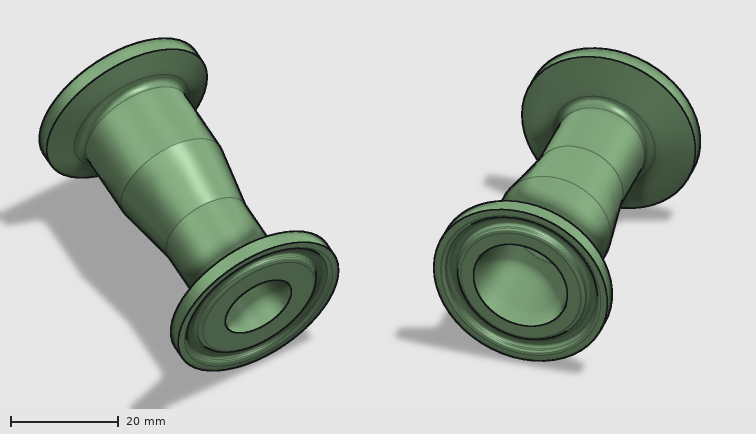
import cadquery as cq
import math

length = 53.0
flange_radius = 34.0 / 2
flange_thickness = 2.85
flange_back_angle = math.radians(20)
neck_fillet = 2.0

large_outer_radius = 21.7 / 2
large_bore_radius = 18.4 / 2
small_outer_radius = 17.3 / 2
small_bore_radius = 14.0 / 2
taper_start = 20.0
taper_end = 33.1

groove_inner_radius = 23.55 / 2
groove_outer_radius = 31.4 / 2
groove_lip_fillet = 0.8
groove_wall_depth = 0.3
groove_wall_draft = math.radians(20)


def turn(outline):
    """Revolve a closed (x, radius) outline about the X axis."""
    return outline.close().revolve(360, (0, 0, 0), (1, 0, 0))


def flanged_end(tube_radius):
    """Flange with its face at x = 0 and a conical back blended into the tube."""
    blend_radius = tube_radius + neck_fillet * (1 - math.sin(flange_back_angle))
    cone_length = (flange_radius - blend_radius) * math.tan(flange_back_angle)
    blend_start = flange_thickness + cone_length
    blend_end = blend_start + neck_fillet * math.cos(flange_back_angle)
    mid_angle = (math.pi / 2 + flange_back_angle) / 2
    blend_middle = (
        blend_end - neck_fillet * math.cos(mid_angle),
        tube_radius + neck_fillet * (1 - math.sin(mid_angle)),
    )
    return turn(
        cq.Workplane("XY")
        .lineTo(0, flange_radius)
        .lineTo(flange_thickness, flange_radius)
        .lineTo(blend_start, blend_radius)
        .threePointArc(blend_middle, (blend_end, tube_radius))
        .lineTo(blend_end, 0)
    )


def gasket_groove():
    """Ring with rounded lips at x = 0, short drafted walls and a round bottom."""
    middle = (groove_inner_radius + groove_outer_radius) / 2
    half_width = (groove_outer_radius - groove_inner_radius) / 2
    lip_mid_angle = (math.pi / 2 - groove_wall_draft) / 2

    lip_middle_depth = groove_lip_fillet * (1 - math.cos(lip_mid_angle))
    lip_middle_half = half_width - groove_lip_fillet * math.sin(lip_mid_angle)
    lip_depth = groove_lip_fillet * (1 - math.sin(groove_wall_draft))
    lip_half = half_width - groove_lip_fillet * math.cos(groove_wall_draft)
    wall_depth = lip_depth + groove_wall_depth
    wall_half = lip_half - groove_wall_depth * math.tan(groove_wall_draft)
    bottom_radius = wall_half / math.cos(groove_wall_draft)
    bottom_depth = wall_depth + bottom_radius * (1 - math.sin(groove_wall_draft))
    return turn(
        cq.Workplane("XY")
        .moveTo(0, middle - half_width)
        .threePointArc((lip_middle_depth, middle - lip_middle_half), (lip_depth, middle - lip_half))
        .lineTo(wall_depth, middle - wall_half)
        .threePointArc((bottom_depth, middle), (wall_depth, middle + wall_half))
        .lineTo(lip_depth, middle + lip_half)
        .threePointArc((lip_middle_depth, middle + lip_middle_half), (0, middle + half_width))
    )


def stepped_core(large_radius, small_radius):
    """Full-length round core: large end, straight taper, small end."""
    return turn(
        cq.Workplane("XY")
        .lineTo(0, large_radius)
        .lineTo(taper_start, large_radius)
        .lineTo(taper_end, small_radius)
        .lineTo(length, small_radius)
        .lineTo(length, 0)
    )


def at_far_end(shape):
    """Mirror a shape made at x = 0 onto the opposite end."""
    return shape.mirror("YZ").translate((length, 0, 0))


body = stepped_core(large_outer_radius, small_outer_radius)
body = body.union(flanged_end(large_outer_radius))
body = body.union(at_far_end(flanged_end(small_outer_radius)))
body = body.cut(stepped_core(large_bore_radius, small_bore_radius))

groove = gasket_groove()
body = body.cut(groove).cut(at_far_end(groove))

result = body.translate((-length / 2, 0, 0))